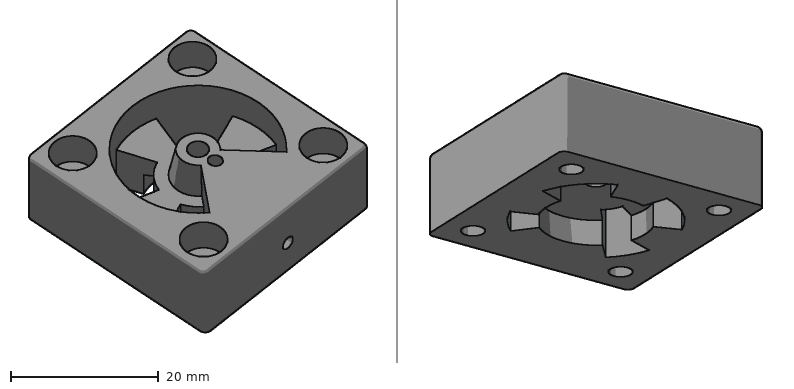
import cadquery as cq
import math

SIDE = 33.0
HEIGHT = 12.0
EDGE_RADIUS = 1.0

SCREW_OFFSET = 12.0
SCREW_DIAMETER = 3.3
HEAD_DIAMETER = 6.5
HEAD_DEPTH = 5.0

POCKET_RADIUS = 12.0
POCKET_DEPTH = 5.0
POCKET_FLOOR = HEIGHT - POCKET_DEPTH
WEDGE_HALF_ANGLE = 40.0

HUB_BASE_RADIUS = 4.0
HUB_TOP_RADIUS = 3.0
HUB_BORE_DIAMETER = 3.0

WINDOW_INNER_RADIUS = 6.0
SPOKE_RIM_WIDTH = 8.0
SPOKE_HALF_ANGLE = math.degrees(math.asin(SPOKE_RIM_WIDTH / 2 / POCKET_RADIUS))
SPOKE_COUNT = 4
SPOKE_SPACING = 360 / SPOKE_COUNT

RECESS_RADIUS = 8.0
RECESS_WALL_HEIGHT = 3.7
RECESS_CENTRE_HEIGHT = 5.7
RECESS_CENTRE_RADIUS = HUB_BORE_DIAMETER / 2

PASSAGE_DIAMETER = 2.0
PASSAGE_TOP_X = 3.17
PASSAGE_TILT = 21.0
PASSAGE_BEND_START_HEIGHT = 8.5
PASSAGE_BEND_RADIUS = 5.0


def polar(radius, angle):
    """Point in the XY plane at a radius and an angle in degrees."""
    turn = math.radians(angle)
    return (radius * math.cos(turn), radius * math.sin(turn))


def ring_sector(inner_radius, outer_radius, start_angle, end_angle, bottom, top):
    """Solid sector of a ring between two angles and two heights."""
    middle_angle = (start_angle + end_angle) / 2
    return (
        cq.Workplane("XY", origin=(0, 0, bottom))
        .moveTo(*polar(inner_radius, start_angle))
        .lineTo(*polar(outer_radius, start_angle))
        .threePointArc(polar(outer_radius, middle_angle), polar(outer_radius, end_angle))
        .lineTo(*polar(inner_radius, end_angle))
        .threePointArc(polar(inner_radius, middle_angle), polar(inner_radius, start_angle))
        .close()
        .extrude(top - bottom)
    )


def make_block():
    """Square block, rounded on its upright and top edges."""
    block = cq.Workplane("XY").box(SIDE, SIDE, HEIGHT, centered=(True, True, False))
    return block.edges("|Z or >Z").fillet(EDGE_RADIUS)


def cut_screw_holes(body):
    """Counterbored screw hole in each corner."""
    spacing = 2 * SCREW_OFFSET
    return (
        body.faces(">Z")
        .workplane(origin=(0, 0, HEIGHT))
        .rarray(spacing, spacing, 2, 2)
        .cboreHole(SCREW_DIAMETER, HEAD_DIAMETER, HEAD_DEPTH)
    )


def make_hub():
    """Cone frustum from the pocket floor to the top face."""
    profile = [
        (0, POCKET_FLOOR),
        (HUB_BASE_RADIUS, POCKET_FLOOR),
        (HUB_TOP_RADIUS, HEIGHT),
        (0, HEIGHT),
    ]
    return cq.Workplane("XZ").polyline(profile).close().revolve(360, (0, 0), (0, 1))


def make_pocket():
    """Space of the round pocket, without the wedge and the hub."""
    disc = cq.Workplane("XY", origin=(0, 0, POCKET_FLOOR)).circle(POCKET_RADIUS).extrude(POCKET_DEPTH)
    wedge = (
        cq.Workplane("XY", origin=(0, 0, POCKET_FLOOR))
        .lineTo(*polar(POCKET_RADIUS, -WEDGE_HALF_ANGLE))
        .threePointArc((POCKET_RADIUS, 0), polar(POCKET_RADIUS, WEDGE_HALF_ANGLE))
        .close()
        .extrude(POCKET_DEPTH)
    )
    return disc.cut(wedge).cut(make_hub())


def cut_windows(body):
    """One window between each two spokes; those beside the wedge stop at its flanks."""
    for spoke in range(SPOKE_COUNT):
        spoke_angle = spoke * SPOKE_SPACING
        start = max(spoke_angle + SPOKE_HALF_ANGLE, WEDGE_HALF_ANGLE)
        end = min(spoke_angle + SPOKE_SPACING - SPOKE_HALF_ANGLE, 360 - WEDGE_HALF_ANGLE)
        window = ring_sector(WINDOW_INNER_RADIUS, POCKET_RADIUS, start, end, 0, POCKET_FLOOR)
        body = body.cut(window)
    return body


def make_recess():
    """Space of the underside recess."""
    profile = [
        (0, 0),
        (RECESS_RADIUS, 0),
        (RECESS_RADIUS, RECESS_WALL_HEIGHT),
        (RECESS_CENTRE_RADIUS, RECESS_CENTRE_HEIGHT),
        (0, RECESS_CENTRE_HEIGHT),
    ]
    return cq.Workplane("XZ").polyline(profile).close().revolve(360, (0, 0), (0, 1))


def make_passage():
    """Round passage swept along a leaning line, an arc that turns it level, and a level line."""
    tilt = math.radians(PASSAGE_TILT)
    bend_tilt = (tilt + math.pi / 2) / 2
    lean = math.tan(tilt)
    start_height = HEIGHT + PASSAGE_DIAMETER
    start_x = PASSAGE_TOP_X - PASSAGE_DIAMETER * lean
    bend_start_x = PASSAGE_TOP_X + (HEIGHT - PASSAGE_BEND_START_HEIGHT) * lean
    bend_centre_x = bend_start_x + PASSAGE_BEND_RADIUS * math.cos(tilt)
    bend_centre_height = PASSAGE_BEND_START_HEIGHT + PASSAGE_BEND_RADIUS * math.sin(tilt)
    bend_middle = (
        bend_centre_x - PASSAGE_BEND_RADIUS * math.cos(bend_tilt),
        bend_centre_height - PASSAGE_BEND_RADIUS * math.sin(bend_tilt),
    )
    level_height = bend_centre_height - PASSAGE_BEND_RADIUS
    path = (
        cq.Workplane("XZ")
        .moveTo(start_x, start_height)
        .lineTo(bend_start_x, PASSAGE_BEND_START_HEIGHT)
        .threePointArc(bend_middle, (bend_centre_x, level_height))
        .lineTo(SIDE / 2, level_height)
    )
    section_plane = cq.Plane(origin=(start_x, 0, start_height), xDir=(0, 1, 0), normal=(lean, 0, -1))
    return cq.Workplane(section_plane).circle(PASSAGE_DIAMETER / 2).sweep(path)


def make_bore():
    """Bore down the axis of the hub."""
    return cq.Workplane("XY").circle(HUB_BORE_DIAMETER / 2).extrude(HEIGHT)


result = cut_screw_holes(make_block())
result = result.cut(make_pocket())
result = cut_windows(result)
result = result.cut(make_recess())
result = result.cut(make_passage())
result = result.cut(make_bore())